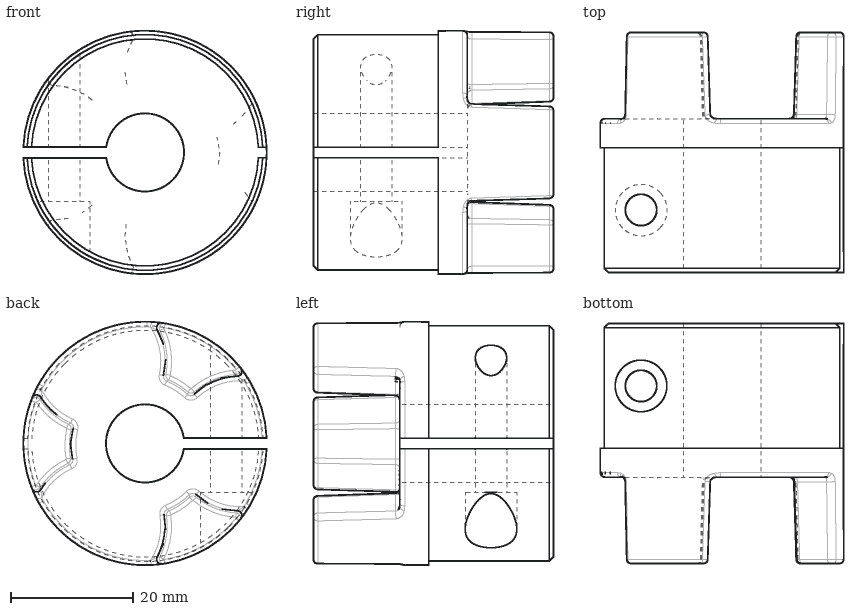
import cadquery as cq
import math

length = 39.22
flange_radius = 19.9
body_radius = 19.25
body_length = 20.35
bore_radius = 6.35
front_chamfer = 0.7

jaw_count = 3
floor_height = 25.15
draft_angle = 1.5
lobe_offset = 15.5
lobe_floor_radius = 10.98
nose_floor_radius = 11.3
nose_centre_x = 0.75
nose_centre_z = -0.28
nose_fillet = 0.8
root_fillet = 0.7
side_fillet = 0.8
tip_fillet = 0.7

slit_width = 1.75
screw_x = -13.2
screw_y = 10.22
screw_radius = 2.55
head_radius = 4.2
head_seat_z = -7.95

tolerance = 0.005
jaw_height = length - floor_height
tip_growth = jaw_height * math.tan(math.radians(draft_angle))


def distance_from_axis(point):
    return math.hypot(point.x, point.z)


def axial_plane(x, y, z):
    """Plane facing +Y, on which the circles around the hub axis are drawn."""
    return cq.Plane(origin=(x, y, z), xDir=(-1, 0, 0), normal=(0, 1, 0))


def cylinder(radius, start_y, end_y):
    return cq.Workplane(axial_plane(0, start_y, 0)).circle(radius).extrude(end_y - start_y)


def radial_slab(x_start, slab_length):
    """Slab as thick as the slit, covering one flange radius along X."""
    slab = cq.Workplane("XY").box(flange_radius, slab_length, slit_width, centered=(False, False, True))
    return slab.translate((x_start, 0, 0))


def make_blank():
    """Body and wider jaw flange, with a narrow rib of full flange radius along +X."""
    body = cylinder(body_radius, 0, length).faces("<Y").chamfer(front_chamfer)
    flange = cylinder(flange_radius, body_length, length)
    rib = radial_slab(0, body_length).intersect(cylinder(flange_radius, 0, body_length))
    return body.union(flange).union(rib)


def drafted_cone(x, z, floor_radius):
    """Cone standing on the floor that widens towards the jaw tips."""
    return (
        cq.Workplane(axial_plane(x, floor_height, z))
        .circle(floor_radius)
        .workplane(offset=jaw_height)
        .circle(floor_radius + tip_growth)
        .loft(ruled=True)
    )


def is_nose_edge(edge):
    """True for the edges that climb from floor to tip where two cones of the jaw space meet."""
    ends = (edge.startPoint(), edge.endPoint())
    climbs = abs(ends[0].y - ends[1].y) > jaw_height / 2
    return climbs and all(distance_from_axis(end) < lobe_offset for end in ends)


def make_jaw_space():
    """The room between the jaws: a central cone and one lobe per gap."""
    space = drafted_cone(nose_centre_x, nose_centre_z, nose_floor_radius)
    for index in range(jaw_count):
        angle = math.radians((index + 0.5) * 360 / jaw_count)
        lobe_x = lobe_offset * math.cos(angle)
        lobe_z = lobe_offset * math.sin(angle)
        space = space.union(drafted_cone(lobe_x, lobe_z, lobe_floor_radius))
    nose_edges = [edge for edge in space.edges().vals() if is_nose_edge(edge)]
    space = space.newObject(nose_edges).fillet(nose_fillet)
    return space.faces("<Y").edges().fillet(root_fillet)


def is_side_edge(edge):
    """True for the outer side edges of the jaws and the outer rim of the floor."""
    ends = (edge.startPoint(), edge.endPoint())
    on_rim = all(distance_from_axis(end) > flange_radius - tolerance for end in ends)
    above_floor = all(end.y > floor_height - tolerance for end in ends)
    on_tip = all(end.y > length - tolerance for end in ends)
    return on_rim and above_floor and not on_tip


def make_hub():
    hub = make_blank().cut(make_jaw_space())
    side_edges = [edge for edge in hub.edges().vals() if is_side_edge(edge)]
    hub = hub.newObject(side_edges).fillet(side_fillet)
    return hub.faces(">Y").edges().fillet(tip_fillet)


def make_screw_hole():
    """Clamp screw hole right across along Z, with a pocket for the head on the -Z side."""
    shank = cq.Workplane("XY").center(screw_x, screw_y).circle(screw_radius).extrude(flange_radius, both=True)
    seat = cq.Workplane("XY", origin=(screw_x, screw_y, head_seat_z))
    return shank.union(seat.circle(head_radius).extrude(-flange_radius))


bore = cylinder(bore_radius, 0, length)
slit = radial_slab(-flange_radius, length)
result = make_hub().cut(bore).cut(slit).cut(make_screw_hole())